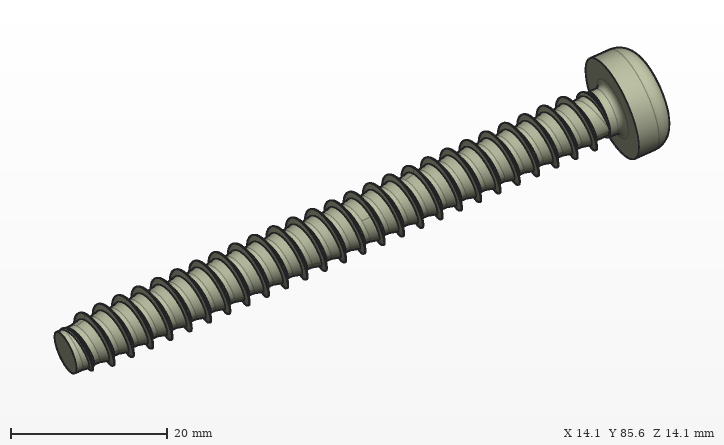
import cadquery as cq
import math


total_length = 85.6
head_diameter = 14.1
head_height = 5.6
head_edge_radius = 2.65
neck_diameter = 6.4
neck_length = 2.05
neck_fillet = 0.9
core_diameter = 5.8
shank_length = total_length - head_height

thread_pitch = 2.8
thread_diameter = 8.05
crest_width = 0.13
thin_flank_length = 0.13
knee_diameter = 7.0
foot_angle = 55.0
tip_flank_length = 0.21
shoulder_diameter = 6.4
cone_length = 1.6
burial_depth = 0.1
root_thickness = 0.1
crest_phase_depth = 4.5
full_thread_top = 4.0
full_thread_bottom = 76.1
head_runout_turns = 1.0
tip_runout_turns = 1.3
full_stretches = 9

core_radius = core_diameter / 2
neck_radius = neck_diameter / 2
crest_radius = thread_diameter / 2
knee_radius = knee_diameter / 2
shoulder_radius = shoulder_diameter / 2
buried_radius = core_radius - burial_depth
root_radius = buried_radius - root_thickness

half_crest = crest_width / 2
knee_offset = half_crest + thin_flank_length
foot_offset = knee_offset + (knee_radius - root_radius) / math.tan(math.radians(foot_angle))
shoulder_offset = -half_crest - tip_flank_length
cone_end_offset = shoulder_offset - cone_length
thread_profile = [
    (foot_offset, root_radius, root_radius),
    (knee_offset, knee_radius, buried_radius),
    (half_crest, crest_radius, buried_radius),
    (-half_crest, crest_radius, buried_radius),
    (shoulder_offset, shoulder_radius, buried_radius),
    (cone_end_offset, buried_radius, buried_radius),
    (cone_end_offset, root_radius, root_radius),
]


def make_head():
    head = cq.Workplane("XY").circle(head_diameter / 2).extrude(head_height)
    return head.faces(">Z").edges().fillet(head_edge_radius)


def make_shank():
    """Neck with a concave fillet under the head, then the plain core down to the tip."""
    outline = (
        cq.Workplane("XZ")
        .lineTo(neck_radius + neck_fillet, 0)
        .radiusArc((neck_radius, -neck_fillet), -neck_fillet)
        .lineTo(neck_radius, -neck_length)
        .lineTo(core_radius, -neck_length)
        .lineTo(core_radius, -shank_length)
        .lineTo(0, -shank_length)
        .close()
    )
    return outline.revolve(360, (0, 0, 0), (0, 1, 0))


def thread_angle(z):
    """Angle from +X, in degrees, at which the crest passes height z."""
    return 360 * (z + crest_phase_depth) / thread_pitch


def helix(start_radius, end_radius, start_z, turns, start_angle):
    """Right-handed helix climbing from start_z, its radius changing evenly along the way."""
    height = turns * thread_pitch
    if start_radius == end_radius:
        wire = cq.Wire.makeHelix(thread_pitch, height, start_radius)
    else:
        angle = math.atan2(end_radius - start_radius, height)
        slant = math.cos(angle)
        wire = cq.Wire.makeHelix(
            thread_pitch / slant, height / slant, start_radius, angle=math.degrees(angle)
        )
    axis_start = cq.Vector(0, 0, 0)
    axis_end = cq.Vector(0, 0, 1)
    return wire.rotate(axis_start, axis_end, start_angle).translate(cq.Vector(0, 0, start_z))


def thread_stretch(start_z, turns, sunk_start=False, sunk_end=False):
    """Helical side faces of one stretch of thread; a sunk end lies inside the core."""
    start_angle = thread_angle(start_z)
    edges = []
    for offset, full_radius, sunk_radius in thread_profile:
        start_radius = sunk_radius if sunk_start else full_radius
        end_radius = sunk_radius if sunk_end else full_radius
        edges.append(helix(start_radius, end_radius, start_z + offset, turns, start_angle))
    return [cq.Face.makeRuledSurface(a, b) for a, b in zip(edges, edges[1:] + edges[:1])]


def sunk_cap(z):
    """Flat face that closes a sunk end of the thread."""
    corners = [cq.Vector(sunk_radius, 0, z + offset) for offset, _, sunk_radius in thread_profile]
    cap = cq.Face.makeFromWires(cq.Wire.makePolygon(corners, close=True))
    return cap.rotate(cq.Vector(0, 0, 0), cq.Vector(0, 0, 1), thread_angle(z))


def make_thread():
    sunk_top = -full_thread_top + head_runout_turns * thread_pitch
    sunk_bottom = -full_thread_bottom - tip_runout_turns * thread_pitch
    stretch_height = (full_thread_bottom - full_thread_top) / full_stretches

    faces = thread_stretch(sunk_bottom, tip_runout_turns, sunk_start=True)
    for index in range(full_stretches):
        stretch_bottom = -full_thread_bottom + index * stretch_height
        faces += thread_stretch(stretch_bottom, stretch_height / thread_pitch)
    faces += thread_stretch(-full_thread_top, head_runout_turns, sunk_end=True)
    faces += [sunk_cap(sunk_bottom), sunk_cap(sunk_top)]
    thread = cq.Workplane(cq.Solid.makeSolid(cq.Shell.makeShell(faces)))

    shank_space = cq.Workplane("XY").circle(thread_diameter).extrude(-shank_length)
    return thread.intersect(shank_space)


screw = make_head().union(make_shank()).union(make_thread())
result = screw.rotate((0, 0, 0), (1, 0, 0), -90).solids()